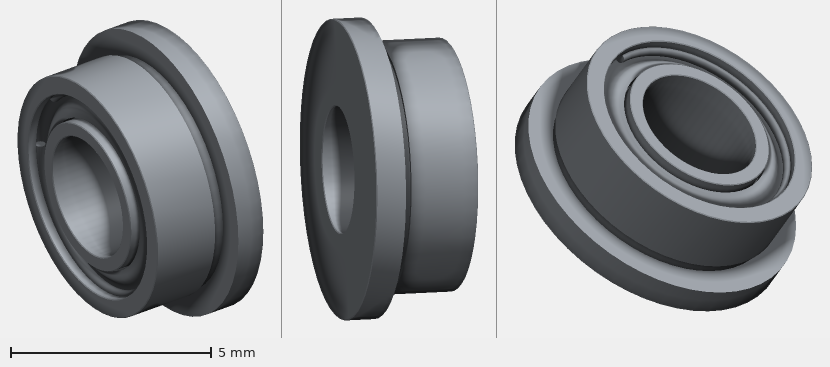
import cadquery as cq
import math

flange_radius = 3.77
width = 2.79
front_y = -width / 2
back_y = width / 2
flange_thickness = 0.76
relief_width = 0.3
barrel_radius = 3.175
relief_radius = 3.08
bore_radius = 1.59
edge_chamfer = 0.02

inner_land_radius = 1.96
outer_land_radius = 2.685

shield_gap = 0.045
shield_face_depth = 0.24
shield_face_radius = 2.14
shield_rim_radius = 2.6
bend_radius = 0.24
bend_angle = math.radians(45)
shield_rim_thickness = 0.1

wire_radius = 0.13
ring_gap_start = 140.0
ring_gap_angle = 40.0

bend_reach = bend_radius * math.sin(bend_angle)
bend_drop = bend_radius * (1 - math.cos(bend_angle))
cone_reach = shield_rim_radius - shield_face_radius - 2 * bend_reach
cone_drop = cone_reach * math.tan(bend_angle)
shield_face_y = front_y + shield_face_depth
shield_rim_y = shield_face_y + 2 * bend_drop + cone_drop
recess_floor_y = shield_rim_y + shield_rim_thickness
wire_center_y = shield_rim_y - wire_radius


def revolve_about_y(profile, angle=360.0):
    """Revolve a profile of (radius, y) points from +X, turning toward -Z."""
    return profile.close().revolve(angle, (0, 0, 0), (0, 1, 0))


def make_race_body():
    """Flanged outer race and inner race, joined behind the shield recess."""
    c = edge_chamfer
    flange_front_y = back_y - flange_thickness
    barrel_back_y = flange_front_y - relief_width
    blank = revolve_about_y(
        cq.Workplane("XY")
        .moveTo(bore_radius + c, front_y)
        .lineTo(barrel_radius - c, front_y)
        .lineTo(barrel_radius, front_y + c)
        .lineTo(barrel_radius, barrel_back_y)
        .lineTo(relief_radius, barrel_back_y)
        .lineTo(relief_radius, flange_front_y)
        .lineTo(flange_radius, flange_front_y)
        .lineTo(flange_radius, back_y - c)
        .lineTo(flange_radius - c, back_y)
        .lineTo(bore_radius + c, back_y)
        .lineTo(bore_radius, back_y - c)
        .lineTo(bore_radius, front_y + c)
    )
    recess = revolve_about_y(
        cq.Workplane("XY")
        .moveTo(inner_land_radius - c, front_y)
        .lineTo(inner_land_radius, front_y + c)
        .lineTo(inner_land_radius, recess_floor_y)
        .lineTo(outer_land_radius, recess_floor_y)
        .lineTo(outer_land_radius, shield_rim_y)
        .threePointArc(
            (outer_land_radius + wire_radius, wire_center_y),
            (outer_land_radius, wire_center_y - wire_radius),
        )
        .lineTo(outer_land_radius, front_y + c)
        .lineTo(outer_land_radius + c, front_y)
    )
    return blank.cut(recess)


def make_shield():
    """Shield with a raised inner flat, an S-shaped slope and a low outer rim."""
    half_reach = bend_radius * math.sin(bend_angle / 2)
    half_drop = bend_radius * (1 - math.cos(bend_angle / 2))
    return revolve_about_y(
        cq.Workplane("XY")
        .moveTo(inner_land_radius + shield_gap, recess_floor_y)
        .lineTo(inner_land_radius + shield_gap, shield_face_y)
        .lineTo(shield_face_radius, shield_face_y)
        .threePointArc(
            (shield_face_radius + half_reach, shield_face_y + half_drop),
            (shield_face_radius + bend_reach, shield_face_y + bend_drop),
        )
        .lineTo(shield_rim_radius - bend_reach, shield_rim_y - bend_drop)
        .threePointArc(
            (shield_rim_radius - half_reach, shield_rim_y - half_drop),
            (shield_rim_radius, shield_rim_y),
        )
        .lineTo(outer_land_radius, shield_rim_y)
        .lineTo(outer_land_radius, recess_floor_y)
    )


def make_retaining_ring():
    """Open ring of round wire, half sunk in the outer race groove."""
    ring = (
        cq.Workplane("XY")
        .center(outer_land_radius, wire_center_y)
        .circle(wire_radius)
        .revolve(360 - ring_gap_angle, (-outer_land_radius, 0, 0), (-outer_land_radius, 1, 0))
    )
    return ring.rotate((0, 0, 0), (0, 1, 0), -ring_gap_start)


race_body = make_race_body()
shield = make_shield()
retaining_ring = make_retaining_ring()

result = cq.Compound.makeCompound([race_body.val(), shield.val(), retaining_ring.val()])